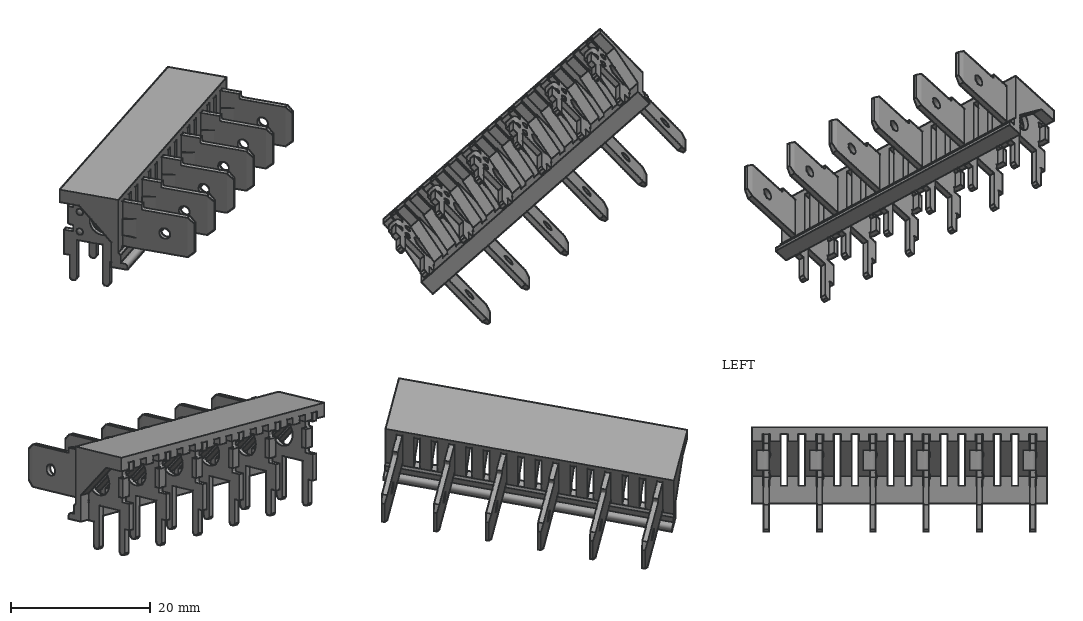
import cadquery as cq
import math


length = 42.2
total_height = 15.0
total_depth = 20.0

terminal_count = 6
slots_per_terminal = 3
end_margin = 2.05
slot_count = (terminal_count - 1) * slots_per_terminal + 1
slot_pitch = (length - 2 * end_margin) / (slot_count - 1)
terminal_pitch = slots_per_terminal * slot_pitch

roof_depth = 9.05
roof_underside = 12.95
roof_flat_depth = 3.0
wall_front = 8.0
housing_bottom = 4.05
slope_bottom = roof_underside - (wall_front - roof_flat_depth)
skirt_back = 9.37
skirt_top = 6.55
skirt_bevel = skirt_back - roof_depth
lip_back = 10.43
lip_top = 5.0
lip_radius = 0.5

slot_top = 13.97
slot_bottom = 6.63
slot_width = 0.9
mouth_width = 1.15

plate_thickness = 0.8
plate_top = slot_top
shoulder_back = 11.95
step_fillet = 0.25
tab_top = 13.17
tab_bottom = 6.9
tab_middle = (tab_top + tab_bottom) / 2
nose_length = 0.95
nose_corner = 0.85
nose_thickness = 0.45
tab_hole_diameter = 1.65
tab_hole_x = 15.5
plate_hole_diameter = 4.0
plate_hole_x = 5.95

notch_top = 12.65
notch_bottom = 7.8
notch_depth = 1.45
notch_fillet = 0.15
corner_search_reach = 0.05
ear_bottom = 8.82
ear_top = 11.65
ear_front = 0.4
ear_reach = 0.95

pin_width = 1.1
first_pin_x = 1.45
pin_spacing = 5.05
crotch_height = 6.5
pin_shoulder = 3.93
pin_tip_inset = 0.3
pin_tip_height = 0.4

bump_diameter = 1.0
bump_height = 0.2
bump_x = 2.45
bump_heights = (11.05, 7.95)
barb_front = 9.1
barb_back = 11.05
barb_height = 3.05
barb_taper = 0.25
barb_rise = 0.3


def make_housing():
    """Roof with a sloped back wall and a lip, cut by a row of slots."""
    arc_offset = lip_radius * math.sqrt(0.5)
    body = (
        cq.Workplane("XZ", origin=(0, length / 2, 0))
        .moveTo(0, total_height)
        .lineTo(0, roof_underside)
        .lineTo(roof_flat_depth, roof_underside)
        .lineTo(wall_front, slope_bottom)
        .lineTo(wall_front, housing_bottom)
        .lineTo(lip_back, housing_bottom)
        .lineTo(lip_back, lip_top - lip_radius)
        .threePointArc(
            (lip_back - lip_radius + arc_offset, lip_top - lip_radius + arc_offset),
            (lip_back - lip_radius, lip_top),
        )
        .lineTo(skirt_back, lip_top)
        .lineTo(skirt_back, skirt_top - skirt_bevel)
        .lineTo(roof_depth, skirt_top)
        .lineTo(roof_depth, total_height)
        .close()
        .extrude(length)
    )
    for index in range(slot_count):
        body = body.cut(make_slot(-length / 2 + end_margin + index * slot_pitch))
    return body


def make_slot(y):
    """Slot through the back wall with a wider mouth under the flat part of the roof."""
    slot = cq.Workplane("XY").box(
        roof_depth, slot_width, slot_top - slot_bottom, centered=(False, True, False)
    )
    mouth = cq.Workplane("XY", origin=(0, 0, roof_underside - slot_bottom)).box(
        roof_flat_depth, mouth_width, slot_top - roof_underside, centered=(False, True, False)
    )
    return slot.union(mouth).translate((0, y, slot_bottom))


def plate_workplane():
    """XZ plane on the +Y face of the terminal plate; extrusion goes towards -Y."""
    return cq.Workplane("XZ", origin=(0, plate_thickness / 2, 0))


def make_plate():
    """Flat plate with the tab, the front notch and the space between the pins."""
    half_pin = pin_width / 2
    second_pin_x = first_pin_x + pin_spacing
    plate = (
        plate_workplane()
        .moveTo(0, plate_top)
        .lineTo(shoulder_back, plate_top)
        .lineTo(shoulder_back, tab_top)
        .lineTo(total_depth - nose_length, tab_top)
        .lineTo(total_depth, tab_top - nose_corner)
        .lineTo(total_depth, tab_bottom + nose_corner)
        .lineTo(total_depth - nose_length, tab_bottom)
        .lineTo(wall_front, tab_bottom)
        .lineTo(wall_front, pin_shoulder)
        .lineTo(second_pin_x - half_pin, pin_shoulder)
        .lineTo(second_pin_x - half_pin, crotch_height)
        .lineTo(first_pin_x + half_pin, crotch_height)
        .lineTo(first_pin_x + half_pin, pin_shoulder)
        .lineTo(0, pin_shoulder)
        .lineTo(0, notch_bottom)
        .lineTo(notch_depth, notch_bottom)
        .lineTo(notch_depth, notch_top)
        .lineTo(0, notch_top)
        .close()
        .extrude(plate_thickness)
    )
    for x in (first_pin_x, second_pin_x):
        plate = plate.union(make_pin(x))
    return plate.clean()


def make_pin(x):
    """Solder pin with a bevelled tip, from the shoulder of the plate down."""
    half_pin = pin_width / 2
    half_tip = half_pin - pin_tip_inset
    return (
        plate_workplane()
        .moveTo(x - half_pin, pin_shoulder)
        .lineTo(x - half_pin, pin_tip_height)
        .lineTo(x - half_tip, 0)
        .lineTo(x + half_tip, 0)
        .lineTo(x + half_pin, pin_tip_height)
        .lineTo(x + half_pin, pin_shoulder)
        .close()
        .extrude(plate_thickness)
    )


def make_ear():
    """Tongue that leaves the plate forwards and bends round to +Y."""
    outer_y = -plate_thickness / 2
    bend_x = ear_front + plate_thickness
    arc_offset = plate_thickness * math.sqrt(0.5)
    end_y = plate_thickness / 2 + ear_reach
    return (
        cq.Workplane("XY", origin=(0, 0, ear_bottom))
        .moveTo(notch_depth, outer_y)
        .lineTo(bend_x, outer_y)
        .threePointArc(
            (bend_x - arc_offset, plate_thickness / 2 - arc_offset),
            (ear_front, plate_thickness / 2),
        )
        .lineTo(ear_front, end_y)
        .lineTo(bend_x, end_y)
        .lineTo(bend_x, plate_thickness / 2)
        .lineTo(notch_depth, plate_thickness / 2)
        .close()
        .extrude(ear_top - ear_bottom)
    )


def fillet_corners(plate):
    """Round the inner corners of the notch, beside the ear and at the tab step."""
    reach = corner_search_reach
    for z in (notch_top, ear_top, ear_bottom, notch_bottom):
        corner = cq.selectors.BoxSelector(
            (notch_depth - reach, -plate_thickness, z - reach),
            (notch_depth + reach, plate_thickness, z + reach),
        )
        plate = plate.edges("|Y").edges(corner).fillet(notch_fillet)
    step = cq.selectors.BoxSelector(
        (shoulder_back - reach, -plate_thickness, tab_top - reach),
        (shoulder_back + reach, plate_thickness, tab_top + reach),
    )
    return plate.edges("|Y").edges(step).fillet(step_fillet)


def make_bump(z):
    """Shallow spherical cap on the -Y face of the plate."""
    radius = bump_diameter / 2
    sphere_radius = (radius**2 + bump_height**2) / (2 * bump_height)
    mid_angle = math.asin(radius / sphere_radius) / 2
    mid_drop = sphere_radius * (1 - math.cos(mid_angle))
    face_y = -plate_thickness / 2
    apex_y = face_y - bump_height
    return (
        cq.Workplane("XY", origin=(bump_x, 0, z))
        .moveTo(0, 0)
        .lineTo(0, apex_y)
        .threePointArc((sphere_radius * math.sin(mid_angle), apex_y + mid_drop), (radius, face_y))
        .lineTo(radius, 0)
        .close()
        .revolve(360, (0, 0, 0), (0, 1, 0))
    )


def make_barb():
    """Wedge on the -Y face that rises towards the housing's back wall."""
    face_y = -plate_thickness / 2
    half = barb_height / 2
    wedge = (
        cq.Workplane("XY", origin=(0, 0, tab_middle - half))
        .moveTo(barb_front, 0)
        .lineTo(barb_front, face_y - barb_rise)
        .lineTo(barb_back, face_y)
        .lineTo(barb_back, 0)
        .close()
        .extrude(barb_height)
    )
    outline = (
        cq.Workplane("XZ", origin=(0, 0, tab_middle))
        .moveTo(barb_back, half)
        .lineTo(barb_front, half - barb_taper)
        .lineTo(barb_front, barb_taper - half)
        .lineTo(barb_back, -half)
        .close()
        .extrude(plate_thickness + barb_rise)
    )
    return wedge.intersect(outline)


def make_nose_cutter():
    """The two wedges that thin the end of the tab."""
    nose_start = total_depth - nose_length
    upper = (
        cq.Workplane("XY")
        .moveTo(nose_start, plate_thickness / 2)
        .lineTo(total_depth, plate_thickness / 2)
        .lineTo(total_depth, nose_thickness / 2)
        .close()
        .extrude(total_height)
    )
    return upper.union(upper.mirror("XZ"))


def make_hole(x, diameter):
    return plate_workplane().center(x, tab_middle).circle(diameter / 2).extrude(plate_thickness)


def make_terminal():
    terminal = fillet_corners(make_plate().union(make_ear()))
    terminal = terminal.cut(make_hole(plate_hole_x, plate_hole_diameter))
    terminal = terminal.cut(make_hole(tab_hole_x, tab_hole_diameter))
    terminal = terminal.cut(make_nose_cutter())
    for z in bump_heights:
        terminal = terminal.union(make_bump(z))
    return terminal.union(make_barb())


housing = make_housing()
terminal = make_terminal()
terminals = []
for index in range(terminal_count):
    y = -length / 2 + end_margin + index * terminal_pitch
    terminals.append(terminal.translate((0, y, 0)).val())

result = cq.Compound.makeCompound([housing.val(), *terminals])